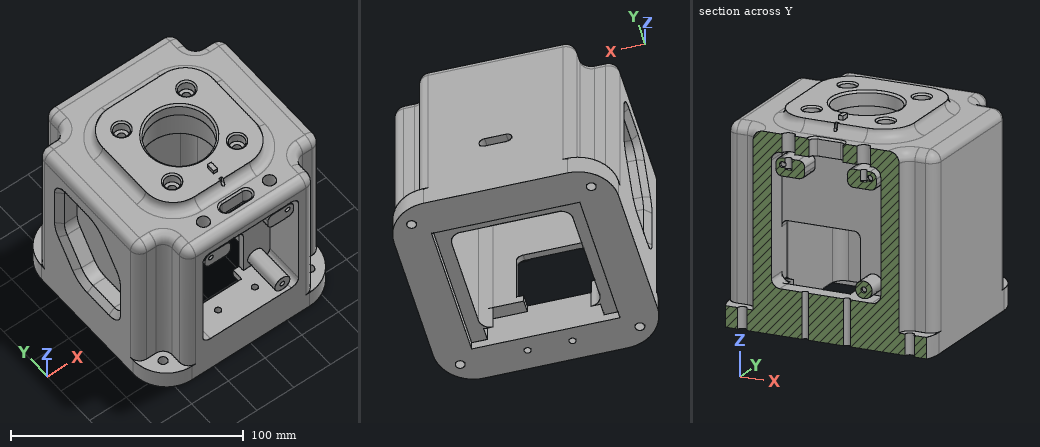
import cadquery as cq

width = 100.0
half = width / 2
body_top = 92.0
edge_radius = 5.0
notch_wall = 35.0

foot_height = 10.0
foot_corner_radius = 18.0
foot_hole_pitch = 80.0
foot_hole_diameter = 4.2

seat_width = 60.0
seat_corner_radius = 15.0
seat_flare = 5.0
seat_top = body_top + seat_flare
bore_diameter = 32.0
bore_chamfer = 1.0
bolt_pitch = 35.4
bolt_diameter = 4.0
counterbore_diameter = 7.6
counterbore_depth = 5.4
counterbore_chamfer = 0.8

pointer_width = 2.2
pointer_length = 4.4
pointer_y = -23.2
pointer_height = 2.0
tick_width = 1.4
tick_depth = 3.4
tick_back_y = -28.8

motor_diameter = 36.0
motor_top = 90.0
chamber_width = 54.0
chamber_top = 74.0
chamber_radius = 5.2
base_recess_width = 66.0
base_recess_depth = 4.3

pocket_width = 52.0
pocket_bottom = 21.6
pocket_top = 83.4
pocket_back_y = -30.0
pocket_radius = 4.0
doorway_right = 11.5
doorway_top = 49.2
doorway_radius = 3.0
floor_gap_right = 8.2
floor_gap_front_y = -base_recess_width / 2
floor_thickness = 4.0
sill_hole_pitch = 20.0
sill_hole_diameter = 3.0
ledge_hole_y = -40.0

mount_front_y = -49.0
mount_hole_diameter = 2.5
mount_hole_depth = 10.0
block_width = 14.0
block_height = 8.5
block_x = 17.1
block_z = 77.0
block_radius = 3.0
block_hole_x = 20.9
block_hole_z = 78.1
block_top_hole_diameter = 3.0
block_top_hole_depth = 5.0
post_x = 18.0
post_z = 27.0
post_diameter = 8.2

ledge_slot_length = 16.2
ledge_slot_width = 5.2
ledge_slot_y = -39.6
ledge_slot_chamfer = 0.9
ledge_hole_pitch = 36.0
ledge_hole_diameter = 6.0

cable_slot_length = 14.5
cable_slot_width = 5.0
cable_slot_z = 32.9

recess_width = 40.0
recess_height = 50.0
recess_z = 52.5
recess_cut_y = 15.0
recess_cut_z = 20.0
recess_sharp_radius = 5.0
recess_blunt_radius = 10.0
recess_depth = 10.0
recess_chamfer = 3.0

chamber_front_y = -chamber_width / 2
pocket_half = pocket_width / 2
mount_length = pocket_back_y - mount_front_y


def box(x0, x1, y0, y1, z0, z1):
    """Box between two corners."""
    return cq.Workplane("XY").box(x1 - x0, y1 - y0, z1 - z0, centered=False).translate((x0, y0, z0))


def square_block(side, z0, z1, corner_radius=0.0):
    """Square block on the Z axis, with rounded vertical corners if a radius is given."""
    block = box(-side / 2, side / 2, -side / 2, side / 2, z0, z1)
    if corner_radius:
        block = block.edges("|Z").fillet(corner_radius)
    return block


def cylinder(x, y, diameter, z0, z1):
    """Vertical cylinder."""
    return cq.Workplane("XY", origin=(x, y, z0)).circle(diameter / 2).extrude(z1 - z0)


def round_rim(diameter, size, z):
    """Cone that chamfers the upper rim of a hole on the Z axis."""
    return cq.Workplane("XY", origin=(0, 0, z)).circle(diameter / 2 + size).extrude(-size, taper=45)


def facing_front(y):
    """Workplane at depth y whose extrusions run toward -Y."""
    return cq.Workplane("XZ", origin=(0, y, 0))


def make_tower():
    """Square tower with a rounded notch along each vertical corner and rounded outer edges."""
    tower = square_block(width, 0, body_top)
    notch_width = 2 * (half - notch_wall)
    notch = square_block(notch_width, 0, body_top, edge_radius)
    for x in (-half, half):
        for y in (-half, half):
            tower = tower.cut(notch.translate((x, y, 0)))
    outer_corners = tower.edges("|Z").edges("<X or >X or <Y or >Y").vals()
    top_edges = tower.faces(">Z").edges().vals()
    return tower.newObject(outer_corners + top_edges).fillet(edge_radius)


def make_feet():
    """Rounded base whose corners stand out below the notches, each with a screw hole."""
    return (
        square_block(width, 0, foot_height, foot_corner_radius)
        .faces(">Z").workplane()
        .rect(foot_hole_pitch, foot_hole_pitch, forConstruction=True).vertices()
        .hole(foot_hole_diameter)
    )


def make_seat():
    """Rounded square seat whose sides flare out through a concave quarter round."""
    seat = square_block(seat_width, body_top, seat_top, seat_corner_radius)
    flare_profile = (
        cq.Workplane("XZ", origin=(seat_width / 2, 0, body_top))
        .lineTo(seat_flare, 0)
        .radiusArc((0, seat_flare), seat_flare)
        .close()
    )
    return seat.union(flare_profile.sweep(seat.faces("<Z").wires()))


def make_pointer():
    """Small bar standing on the seat."""
    bar = cq.Workplane("XY", origin=(0, pointer_y, seat_top)).rect(pointer_width, pointer_length)
    return bar.extrude(pointer_height)


def make_tick():
    """Round-bottomed groove in the front edge of the seat."""
    return (
        facing_front(tick_back_y).center(0, seat_top)
        .slot2D(2 * tick_depth, tick_width, 90).extrude(seat_flare)
    )


def make_cavity():
    """Base recess, square chamber, motor cylinder and chamfered bore, stacked on the Z axis."""
    return (
        square_block(base_recess_width, 0, base_recess_depth)
        .union(square_block(chamber_width, 0, chamber_top, chamber_radius))
        .union(cylinder(0, 0, motor_diameter, chamber_top, motor_top))
        .union(cylinder(0, 0, bore_diameter, motor_top, seat_top))
        .union(round_rim(bore_diameter, bore_chamfer, seat_top))
    )


def make_bolt_hole():
    """Counterbored bolt hole from the seat down into the chamber, on the Z axis."""
    return (
        cylinder(0, 0, bolt_diameter, chamber_top, seat_top)
        .union(cylinder(0, 0, counterbore_diameter, seat_top - counterbore_depth, seat_top))
        .union(round_rim(counterbore_diameter, counterbore_chamfer, seat_top))
    )


def make_front_opening():
    """Front pocket, its doorway into the chamber and the openings around its floor."""
    pocket = (
        box(-pocket_half, pocket_half, -half, pocket_back_y, pocket_bottom, pocket_top)
        .edges("|Y").fillet(pocket_radius)
    )
    doorway_back_y = chamber_front_y + chamber_radius
    doorway = (
        box(-pocket_half, doorway_right, pocket_back_y, doorway_back_y, pocket_bottom, doorway_top)
        .edges("|Y and >Z").fillet(doorway_radius)
    )
    floor_gap = box(-pocket_half, floor_gap_right, floor_gap_front_y, chamber_front_y, 0, pocket_bottom)
    floor_underside = pocket_bottom - floor_thickness
    underfloor = box(-pocket_half, pocket_half, floor_gap_front_y, chamber_front_y, 0, floor_underside)
    return pocket.union(doorway).union(floor_gap).union(underfloor)


def make_mount_hole(x, z):
    """Blind screw hole in the front face of a block or post."""
    bottom = facing_front(mount_front_y + mount_hole_depth).center(x, z)
    return bottom.circle(mount_hole_diameter / 2).extrude(mount_hole_depth)


def make_block(side):
    """Mounting block on the pocket's back wall; side is -1 or 1 along X."""
    return (
        facing_front(pocket_back_y).center(side * block_x, block_z)
        .rect(block_width, block_height).extrude(mount_length)
        .edges("|Y").fillet(block_radius)
    )


def make_post():
    """Round post on the pocket's back wall."""
    base = facing_front(pocket_back_y).center(post_x, post_z)
    return base.circle(post_diameter / 2).extrude(mount_length)


def make_ledge_slot():
    """Chamfered slot from the top face into the front pocket."""
    slot = (
        cq.Workplane("XY", origin=(0, ledge_slot_y, pocket_top))
        .slot2D(ledge_slot_length, ledge_slot_width).extrude(body_top - pocket_top)
    )
    growth = 2 * ledge_slot_chamfer
    rim = (
        cq.Workplane("XY", origin=(0, ledge_slot_y, body_top))
        .slot2D(ledge_slot_length + growth, ledge_slot_width + growth)
        .extrude(-ledge_slot_chamfer, taper=45)
    )
    return slot.union(rim)


def make_cable_slot():
    """Slot through the rear wall into the chamber."""
    return (
        facing_front(half).center(0, cable_slot_z)
        .slot2D(cable_slot_length, cable_slot_width).extrude(half - chamber_width / 2)
    )


def round_corners(solid, corners, radius):
    """Fillet the edges along X that pass through the given (y, z) corners."""
    middle_x = recess_depth / 2 - half
    for y, z in corners:
        nearest = cq.selectors.NearestToPointSelector((middle_x, y, recess_z + z))
        solid = solid.edges("|X").edges(nearest).fillet(radius)
    return solid


def make_side_recess():
    """Blind six-sided recess in the -X face with a chamfered rim."""
    y_max = recess_width / 2
    z_max = recess_height / 2
    outline = [
        (-y_max, -z_max),
        (y_max - recess_cut_y, -z_max),
        (y_max, recess_cut_z - z_max),
        (y_max, z_max),
        (recess_cut_y - y_max, z_max),
        (-y_max, z_max - recess_cut_z),
    ]
    sharp_corners = outline[0::3]
    blunt_corners = outline[1::3] + outline[2::3]
    recess = (
        cq.Workplane("YZ", origin=(-half, 0, recess_z))
        .polyline(outline).close().extrude(recess_depth)
    )
    recess = round_corners(recess, sharp_corners, recess_sharp_radius)
    recess = round_corners(recess, blunt_corners, recess_blunt_radius)
    rim = (
        recess.faces("<X").workplane()
        .add(recess.faces("<X").wires().vals()).toPending()
        .offset2D(recess_chamfer).extrude(-recess_chamfer, taper=45, combine=False)
    )
    return recess.union(rim)


result = make_tower().union(make_feet()).union(make_seat()).union(make_pointer())
result = result.cut(make_tick()).cut(make_cavity()).cut(make_front_opening())
result = result.cut(make_ledge_slot()).cut(make_cable_slot()).cut(make_side_recess())

for x in (-bolt_pitch / 2, bolt_pitch / 2):
    for y in (-bolt_pitch / 2, bolt_pitch / 2):
        result = result.cut(make_bolt_hole().translate((x, y, 0)))

result = result.union(make_post()).cut(make_mount_hole(post_x, post_z))

block_top = block_z + block_height / 2
block_top_hole_bottom = block_top - block_top_hole_depth
for side in (-1, 1):
    sill_hole_x = side * sill_hole_pitch / 2
    ledge_hole_x = side * ledge_hole_pitch / 2
    result = (
        result.union(make_block(side))
        .cut(make_mount_hole(side * block_hole_x, block_hole_z))
        .cut(cylinder(ledge_hole_x, ledge_hole_y, block_top_hole_diameter, block_top_hole_bottom, block_top))
        .cut(cylinder(ledge_hole_x, ledge_hole_y, ledge_hole_diameter, pocket_top, body_top))
        .cut(cylinder(sill_hole_x, ledge_hole_y, sill_hole_diameter, 0, pocket_bottom))
    )